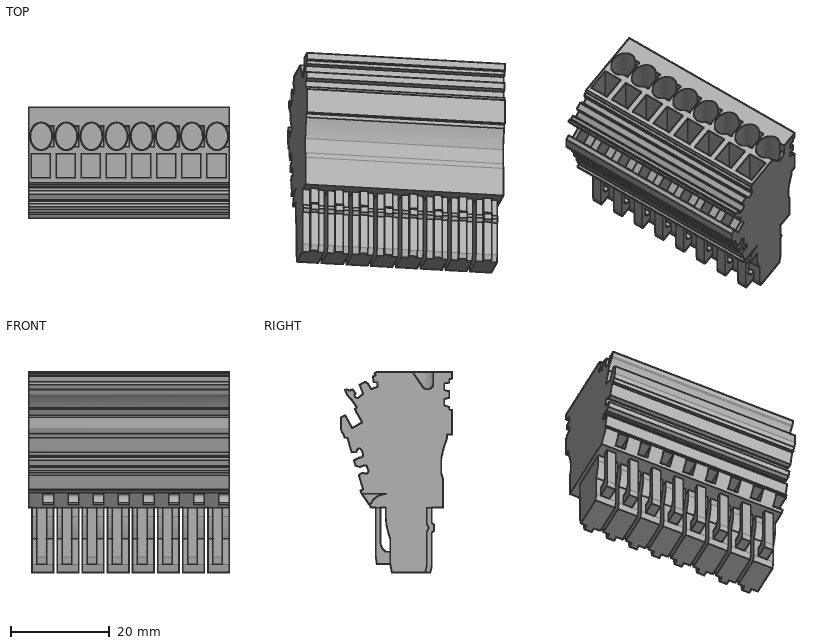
import cadquery as cq
import math


POLES = 8
WIDTH = 40.8
HEIGHT = 40.75
PITCH = WIDTH / POLES

BACK_Y = 22.55
BASE_Z = 13.18
TOP_FRONT_Y = 7.22
CHANNEL_BACK = (4.3, 30.5)
CHANNEL_FRONT = (2.3, 29.38)
CHAMFER_TOP = (4.1, 16.2)
CHAMFER_BOTTOM = (6.15, BASE_Z)

GROOVE_FLOOR_Y = 21.0
RIB_Y = 22.05
WAIST_Y = 20.4
BASE_BACK_Y = 20.73

HOLE_DEPTH = 12.25
WIRE_HOLE_X = 2.55
WIRE_HOLE_Y = 16.65
WIRE_HOLE_RADIUS_X = 2.25
WIRE_HOLE_RADIUS_Y = 2.8
RELIEF_HALF_LENGTH = 2.12
RELIEF_WALL_DEPTH = 2.65
RELIEF_DEPTH = 3.43
RELIEF_MIDDLE_DEPTH = 3.1
WINDOW_X = (0.55, 4.4)
WINDOW_Y = (8.2, 13.15)
CHANNEL_POCKET_X = (0.8, 4.4)
CHANNEL_POCKET_DEPTH = 5.7
CHAMFER_POCKET_X = (2.95, PITCH)
CHAMFER_POCKET_TOP_Z = 16.05
CHAMFER_POCKET_LIP_Y = 5.7
CHAMFER_POCKET_LIP_Z = 13.85

PEG_X = (0.7, PITCH)
ARM_X = (1.7, 3.67)
STRIP_X = (2.05, 3.67)
PEG_FRONT_Y = 10.0
PEG_NECK_Y = 9.05
PEG_BACK_Y = 17.45
PEG_TIP_BACK_Y = 17.1
PEG_TIP_Z = 1.7
STRIP_BACK_Y = 18.45
DETENT_Y = 18.95
ARM_FRONT_Y = 7.05
ARM_REAR_Y = 8.08
ARM_FOOT_Z = 4.3
FUSE_OVERLAP = 0.6


def offset(point, direction, distance):
    """Move a (y, z) point along a unit direction."""
    return (point[0] + direction[0] * distance, point[1] + direction[1] * distance)


def inward_normal(upper, lower):
    """Unit (y, z) direction square to the line between two points, pointing down into the housing."""
    length = math.dist(upper, lower)
    return ((upper[1] - lower[1]) / length, (lower[0] - upper[0]) / length)


def prism(outline, x_range):
    """Extrude a closed (y, z) sketch over a range of X."""
    return outline.close().extrude(x_range[1] - x_range[0])


def sketch_at(x):
    """Start a sketch in the Y-Z plane at a place along X."""
    return cq.Workplane("YZ", origin=(x, 0, 0))


def housing():
    """Ribbed housing profile, extruded over the full width."""
    upper_teeth = [
        (6.77, 40.47), (7.05, 40.05), (6.45, 39.82), (6.65, 38.65), (7.35, 38.65), (7.43, 37.8),
        (6.15, 37.25), (5.55, 38.3), (4.95, 38.75), (3.75, 38.15), (4.5, 36.3),
        (3.43, 35.45), (2.9, 35.6), (2.77, 36.05), (2.98, 36.4), (2.33, 37.25),
        (1.7, 36.92), (1.22, 37.25), (0.8, 37.1), (1.22, 36.15), (1.4, 35.9),
    ]
    channel = [(2.77, 33.2), CHANNEL_BACK, CHANNEL_FRONT, (0.85, 32.0), (0, 31.5), (0, 29.25)]
    latch_step = [(0.78, 27.35), (1.3, 27.38), (2.12, 24.5), (3.1, 24.4), (3.4, 25.05), (3.8, 25.25)]
    lower_teeth = [
        (4.45, 23.75), (4.25, 23.45), (3.75, 23.38), (2.6, 22.8), (2.98, 21.65),
        (3.88, 21.4), (4.7, 21.75), (5.15, 21.75), (5.6, 20.65), (5.35, 20.15),
        (4.9, 20.1), (4.53, 20.3), (4.1, 20.15), (3.6, 19.8), (4.5, 16.9),
        (3.95, 16.65), CHAMFER_TOP, CHAMFER_BOTTOM,
    ]
    back_base = [(BASE_BACK_Y, BASE_Z), (BASE_BACK_Y, 19.0), (WAIST_Y, 20.1), (WAIST_Y, 23.15)]
    back_grooves = [
        (21.55, 28.05), (BACK_Y, 28.05), (BACK_Y, 33.0), (RIB_Y, 33.15), (RIB_Y, 33.6),
        (GROOVE_FLOOR_Y, 34.0), (GROOVE_FLOOR_Y, 35.2), (RIB_Y, 35.5), (RIB_Y, 36.85),
        (GROOVE_FLOOR_Y, 37.1), (GROOVE_FLOOR_Y, 38.4), (RIB_Y, 38.55), (RIB_Y, 39.25),
        (BACK_Y, 39.37), (BACK_Y, HEIGHT),
    ]
    outline = (
        sketch_at(0)
        .polyline([(TOP_FRONT_Y, HEIGHT)] + upper_teeth)
        .threePointArc((2.35, 34.8), (3.22, 33.5))
        .polyline(channel, includeCurrent=True)
        .threePointArc((0.12, 28.7), (0.45, 28.2))
        .polyline(latch_step, includeCurrent=True)
        .threePointArc((4.2, 24.75), (4.45, 24.0))
        .polyline(lower_teeth, includeCurrent=True)
        .polyline(back_base, includeCurrent=True)
        .threePointArc((20.85, 25.17), (21.55, 27.25))
        .polyline(back_grooves, includeCurrent=True)
    )
    return prism(outline, (0, WIDTH))


def wire_hole(pole_x):
    """Oval wire entry with a curved relief between it and the next pole."""
    centre_x = pole_x + WIRE_HOLE_X
    oval = (
        cq.Workplane("XY", origin=(centre_x, WIRE_HOLE_Y, HEIGHT - HOLE_DEPTH))
        .ellipse(WIRE_HOLE_RADIUS_X, WIRE_HOLE_RADIUS_Y)
        .extrude(HOLE_DEPTH)
    )
    front_y = WIRE_HOLE_Y - RELIEF_HALF_LENGTH
    back_y = WIRE_HOLE_Y + RELIEF_HALF_LENGTH
    relief = (
        sketch_at(centre_x)
        .moveTo(back_y, HEIGHT)
        .lineTo(back_y, HEIGHT - RELIEF_WALL_DEPTH)
        .threePointArc(
            (back_y - 0.7, HEIGHT - RELIEF_DEPTH),
            (WIRE_HOLE_Y, HEIGHT - RELIEF_MIDDLE_DEPTH),
        )
        .lineTo(front_y, HEIGHT)
    )
    return oval.union(prism(relief, (centre_x, pole_x + PITCH)))


def release_window(pole_x):
    """Rectangular opening in the top, in front of the wire hole."""
    size_x = WINDOW_X[1] - WINDOW_X[0]
    size_y = WINDOW_Y[1] - WINDOW_Y[0]
    corner = (pole_x + WINDOW_X[0], WINDOW_Y[0], HEIGHT - HOLE_DEPTH)
    return cq.Workplane("XY", origin=corner).rect(size_x, size_y, centered=False).extrude(HOLE_DEPTH)


def channel_pocket(pole_x):
    """Pocket sunk square into the sloping floor of the front channel."""
    depth = CHANNEL_POCKET_DEPTH
    inward = inward_normal(CHANNEL_BACK, CHANNEL_FRONT)
    corners = [
        CHANNEL_BACK,
        CHANNEL_FRONT,
        offset(CHANNEL_FRONT, inward, depth),
        offset(CHANNEL_BACK, inward, depth),
    ]
    return prism(sketch_at(pole_x + CHANNEL_POCKET_X[0]).polyline(corners), CHANNEL_POCKET_X)


def chamfer_pocket(pole_x):
    """Pocket behind the bottom chamfer, with a rising floor that bulges upward.

    The cut starts in the open space ahead of the chamfer.
    """
    outline = (
        sketch_at(pole_x + CHAMFER_POCKET_X[0])
        .moveTo(0, CHAMFER_POCKET_TOP_Z)
        .lineTo(0, CHAMFER_POCKET_LIP_Z)
        .lineTo(CHAMFER_POCKET_LIP_Y, CHAMFER_POCKET_LIP_Z)
        .lineTo(6.2, 14.15)
        .threePointArc((7.0, 15.2), (8.25, 15.8))
        .lineTo(9.2, CHAMFER_POCKET_TOP_Z)
    )
    return prism(outline, CHAMFER_POCKET_X)


def peg(pole_x):
    """Contact peg: a block with a sprung arm in front and a detent strip behind."""
    block = (
        sketch_at(pole_x + PEG_X[0])
        .moveTo(PEG_NECK_Y, BASE_Z)
        .lineTo(PEG_NECK_Y, 11.42)
        .threePointArc((9.3, 9.25), (PEG_FRONT_Y, 6.85))
        .lineTo(PEG_FRONT_Y, PEG_TIP_Z)
        .lineTo(10.32, 0)
        .lineTo(PEG_TIP_BACK_Y, 0)
        .lineTo(PEG_BACK_Y, 1.55)
        .lineTo(PEG_BACK_Y, 8.3)
        .lineTo(17.85, 9.1)
        .lineTo(PEG_BACK_Y, 9.87)
        .lineTo(PEG_BACK_Y, BASE_Z)
    )
    strip_front_y = PEG_TIP_BACK_Y - FUSE_OVERLAP
    strip = sketch_at(pole_x + STRIP_X[0]).polyline([
        (strip_front_y, BASE_Z), (strip_front_y, 0), (18.15, 0), (STRIP_BACK_Y, 1.15),
        (STRIP_BACK_Y, 8.08), (DETENT_Y, 8.53), (DETENT_Y, 9.7),
        (STRIP_BACK_Y, 10.1), (STRIP_BACK_Y, BASE_Z),
    ])
    arm_back_y = PEG_FRONT_Y + FUSE_OVERLAP
    arm = (
        sketch_at(pole_x + ARM_X[0])
        .moveTo(ARM_FRONT_Y, BASE_Z)
        .lineTo(ARM_FRONT_Y, 3.2)
        .lineTo(7.25, PEG_TIP_Z)
        .lineTo(arm_back_y, PEG_TIP_Z)
        .lineTo(arm_back_y, ARM_FOOT_Z)
        .lineTo(PEG_NECK_Y, ARM_FOOT_Z)
        .threePointArc((8.4, 4.98), (ARM_REAR_Y, 5.95))
        .lineTo(ARM_REAR_Y, BASE_Z)
    )
    return prism(block, PEG_X).union(prism(strip, STRIP_X)).union(prism(arm, ARM_X))


result = housing()
for pole in range(POLES):
    pole_left = pole * PITCH
    for opening in (wire_hole, release_window, channel_pocket, chamfer_pocket):
        result = result.cut(opening(pole_left))
    result = result.union(peg(pole_left))